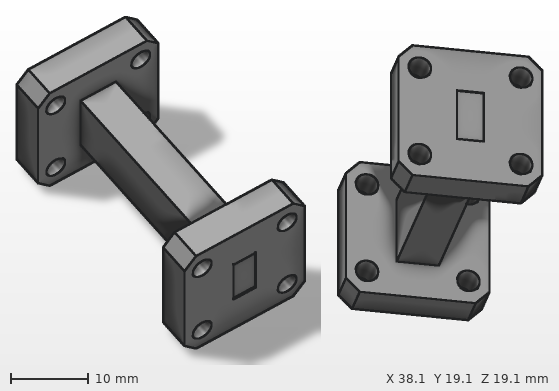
import cadquery as cq

length = 38.1
flange_side = 19.05

flange_thickness = 4.88
corner_chamfer = 1.83
hole_diameter = 2.97
hole_spacing_y = 13.45
hole_spacing_z = 12.7

tube_width = 5.6
tube_height = 9.1

window_width = 3.55
window_height = 7.12
window_depth = 0.2


def make_flange(center_x):
    """Square flange with chamfered corners and four through holes along X."""
    return (
        cq.Workplane("YZ", origin=(center_x - flange_thickness / 2, 0, 0))
        .rect(flange_side, flange_side)
        .extrude(flange_thickness)
        .edges("|X")
        .chamfer(corner_chamfer)
        .faces(">X")
        .workplane(centerOption="CenterOfBoundBox")
        .rect(hole_spacing_y, hole_spacing_z, forConstruction=True)
        .vertices()
        .hole(hole_diameter)
    )


def make_window(side):
    """Cutter for the recess in the outer face on the given side (-1 or +1)."""
    center_x = side * (length - window_depth) / 2
    return cq.Workplane("XY", origin=(center_x, 0, 0)).box(window_depth, window_width, window_height)


result = cq.Workplane("XY").box(length - 2 * flange_thickness, tube_width, tube_height)
for side in (-1, 1):
    result = result.union(make_flange(side * (length - flange_thickness) / 2))
for side in (-1, 1):
    result = result.cut(make_window(side))